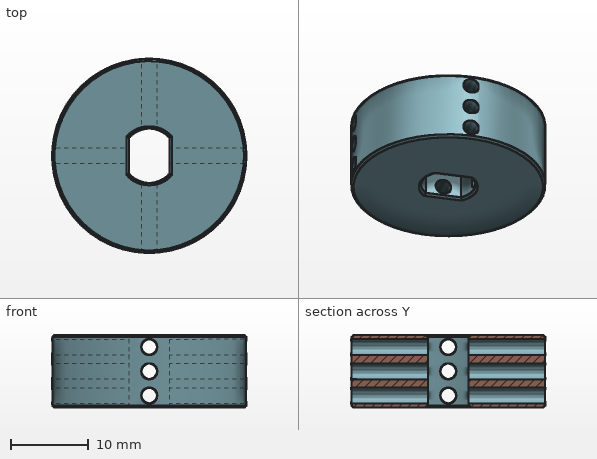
import cadquery as cq

disc_diameter = 25
disc_height = 9.38
edge_chamfer = 0.3

bore_diameter = 7
bore_flat_width = 5.2

cross_hole_diameter = 2
cross_hole_count = 3
cross_hole_spacing = disc_height / cross_hole_count


def make_bore():
    """Double-D through bore, as a solid to be cut away."""
    round_bore = cq.Workplane("XY").cylinder(disc_height, bore_diameter / 2)
    flats = cq.Workplane("XY").box(bore_flat_width, bore_diameter, disc_height)
    return round_bore.intersect(flats)


def make_bored_disc():
    """Disc with its bore, chamfered at the rims and bore mouths of both end faces."""
    disc = cq.Workplane("XY").cylinder(disc_height, disc_diameter / 2)
    return disc.cut(make_bore()).faces("|Z").chamfer(edge_chamfer)


def make_cross_holes(plane):
    """Row of holes running right through the disc along the normal of the plane."""
    return (
        cq.Workplane(plane)
        .rarray(0.25, cross_hole_spacing, 1, cross_hole_count)
        .circle(cross_hole_diameter / 2)
        .extrude(disc_diameter / 2, both=True)
    )


result = make_bored_disc()
for hole_plane in ("XZ", "YZ"):
    result = result.cut(make_cross_holes(hole_plane))